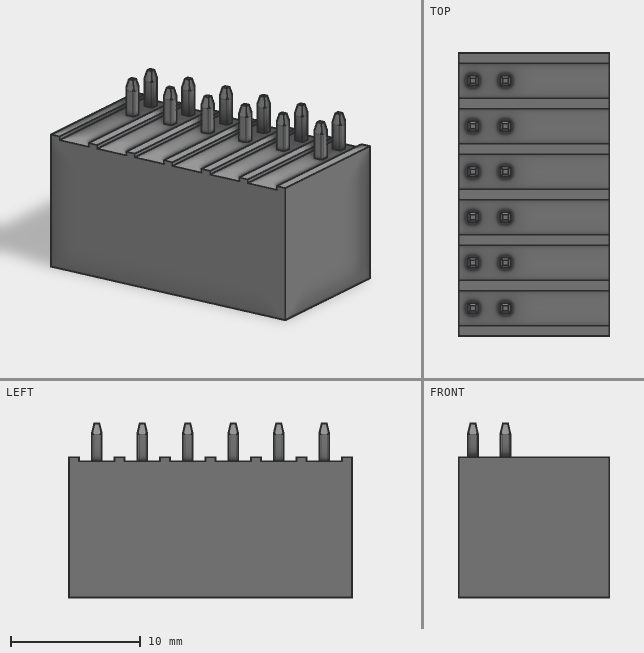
import cadquery as cq

ROW_COUNT = 6
ROW_PITCH = 3.5

RIB_WIDTH = 0.8
RIB_HEIGHT = 0.3
HOUSING_LENGTH_X = 11.6
HOUSING_WIDTH_Y = ROW_COUNT * ROW_PITCH + RIB_WIDTH
HOUSING_HEIGHT = 10.8
GROOVE_FLOOR_Z = HOUSING_HEIGHT - RIB_HEIGHT
GROOVE_WIDTH = ROW_PITCH - RIB_WIDTH

OVERALL_HEIGHT = 13.4
PIN_SIZE = 0.8
PIN_EDGE_RADIUS = 0.15
PIN_TIP_SIZE = 0.4
PIN_TAPER_HEIGHT = 0.85
PIN_HEIGHT = OVERALL_HEIGHT - GROOVE_FLOOR_Z
PINS_PER_ROW = 2
PIN_PITCH_X = 2.5
FIRST_PIN_INSET = 1.1

row_positions_y = [(row - (ROW_COUNT - 1) / 2) * ROW_PITCH for row in range(ROW_COUNT)]
pin_positions_x = [
    -HOUSING_LENGTH_X / 2 + FIRST_PIN_INSET + pin * PIN_PITCH_X for pin in range(PINS_PER_ROW)
]


def make_housing():
    """Plain block with a shallow groove along X for each row, leaving ribs between."""
    block = cq.Workplane("XY").box(
        HOUSING_LENGTH_X, HOUSING_WIDTH_Y, HOUSING_HEIGHT, centered=(True, True, False)
    )
    grooves = (
        cq.Workplane("XY", origin=(0, 0, GROOVE_FLOOR_Z))
        .pushPoints([(0, y) for y in row_positions_y])
        .rect(HOUSING_LENGTH_X, GROOVE_WIDTH)
        .extrude(RIB_HEIGHT)
    )
    return block.cut(grooves)


def make_pin():
    """One pin standing on Z = 0, its round-edged shank trimmed by a four-sided taper."""
    shank_height = PIN_HEIGHT - PIN_TAPER_HEIGHT
    rounded_bar = (
        cq.Workplane("XY")
        .rect(PIN_SIZE, PIN_SIZE)
        .extrude(PIN_HEIGHT)
        .edges("|Z")
        .fillet(PIN_EDGE_RADIUS)
    )
    tapered_envelope = (
        cq.Workplane("XY")
        .rect(PIN_SIZE, PIN_SIZE)
        .extrude(shank_height)
        .faces(">Z")
        .workplane()
        .rect(PIN_SIZE, PIN_SIZE)
        .workplane(offset=PIN_TAPER_HEIGHT)
        .rect(PIN_TIP_SIZE, PIN_TIP_SIZE)
        .loft(ruled=True)
    )
    return rounded_bar.intersect(tapered_envelope)


result = make_housing()
pin_shape = make_pin()
for pin_y in row_positions_y:
    for pin_x in pin_positions_x:
        result = result.union(pin_shape.translate((pin_x, pin_y, GROOVE_FLOOR_Z)))